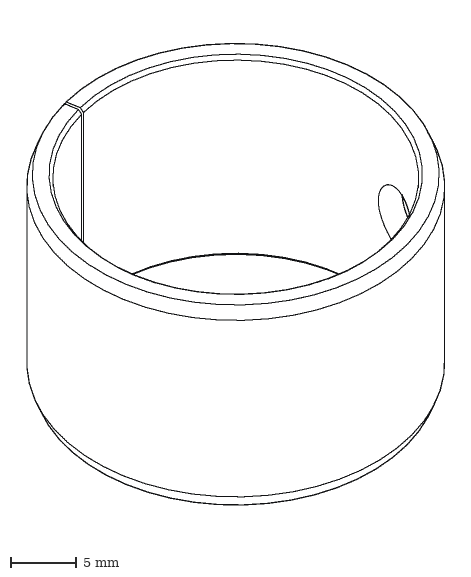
import cadquery as cq
import math

outer_diameter = 32.0
wall = 2.0
height = 20.0

outer_chamfer_height = 1.2
outer_chamfer_angle = 20.0
inner_chamfer_height = 0.35
inner_chamfer_depth = 0.3

slit_width = 0.25
hole_diameter = 6.0
hole_angle = 59.0

outer_radius = outer_diameter / 2
inner_radius = outer_radius - wall
half_height = height / 2
outer_chamfer_depth = outer_chamfer_height * math.tan(math.radians(outer_chamfer_angle))


def ring():
    """Revolve the wall section, centred on the origin, about Z."""
    rim_outer = outer_radius - outer_chamfer_depth
    rim_inner = inner_radius + inner_chamfer_depth
    outer_edge = half_height - outer_chamfer_height
    inner_edge = half_height - inner_chamfer_height
    section = [
        (rim_inner, -half_height),
        (rim_outer, -half_height),
        (outer_radius, -outer_edge),
        (outer_radius, outer_edge),
        (rim_outer, half_height),
        (rim_inner, half_height),
        (inner_radius, inner_edge),
        (inner_radius, -inner_edge),
    ]
    return cq.Workplane("XZ").polyline(section).close().revolve(360, (0, 0), (0, 1))


def slit():
    """Full-height cutter through the wall on the -X side, with one face on the XZ plane."""
    blade = cq.Workplane("XY").box(outer_radius, slit_width, height)
    return blade.translate((-outer_radius, slit_width / 2, 0))


def radial_hole():
    """Cutter from the axis outwards through one side of the wall at mid-height."""
    drill = cq.Workplane("YZ").circle(hole_diameter / 2).extrude(outer_diameter)
    return drill.rotate((0, 0, 0), (0, 0, 1), hole_angle)


result = ring().cut(slit()).cut(radial_hole())